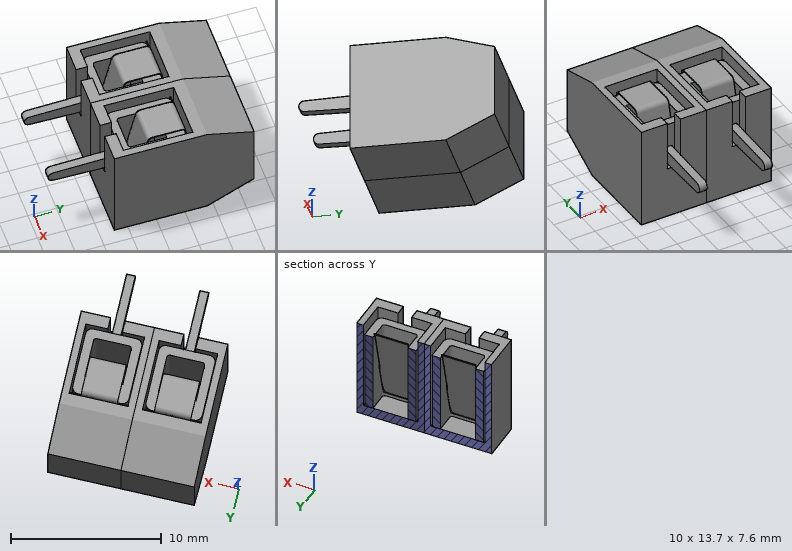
import cadquery as cq
import math

POLES = 2
PITCH = 5.0

LENGTH = 9.8
HEIGHT = 7.6
SLOPE_START = 6.5
UPPER_DROP = 1.0
LOWER_RISE = 1.6
SIDE_WALL = 0.5
FRONT_WALL = 0.8
POCKET_REAR = 5.67
POCKET_DEPTH = 6.8
SLOT_WIDTH = 1.0
SLOT_DEPTH = 3.72

FRAME_GAP = 0.08
FRAME_FRONT = 0.83
FRAME_REAR = 5.39
FRAME_TOP = HEIGHT - 0.78
FRAME_RADIUS = 0.45
WINDOW_WIDTH = 2.58
WINDOW_FRONT = 1.42
WINDOW_REAR = 4.08
WINDOW_RADIUS = 0.2

LEAF_THICKNESS = 0.07
LEAF_WIDTH = 2.48
LEAF_TOP = HEIGHT - 0.42
REAR_BEND = 0.33
FRONT_BEND = 0.38
FRONT_BEND_START = 3.12
LEAN = math.radians(13)
WIDENING_Y = 2.05
SHOULDER_DROP = 0.1

PIN_WIDTH = 0.6
PIN_LENGTH = 3.9
PIN_NOSE = 0.38
PIN_AXIS = HEIGHT - 3.09
PIN_ROOT_HEIGHT = 1.0
PIN_TIP_HEIGHT = 0.79

POCKET_WIDTH = PITCH - 2 * SIDE_WALL
POCKET_FLOOR = HEIGHT - POCKET_DEPTH


def block(width, y_range, z_range):
    """Box centred on X = 0 between the given Y and Z limits."""
    y_size = y_range[1] - y_range[0]
    z_size = z_range[1] - z_range[0]
    return (
        cq.Workplane("XY")
        .box(width, y_size, z_size, centered=(True, False, False))
        .translate((0, y_range[0], z_range[0]))
    )


def make_housing():
    """Sloped body with a pocket from above and a slot in its front wall for the pin."""
    profile = [
        (0, 0),
        (SLOPE_START, 0),
        (LENGTH, LOWER_RISE),
        (LENGTH, HEIGHT - UPPER_DROP),
        (SLOPE_START, HEIGHT),
        (0, HEIGHT),
    ]
    body = cq.Workplane("YZ").polyline(profile).close().extrude(PITCH / 2, both=True)
    pocket = block(POCKET_WIDTH, (FRONT_WALL, POCKET_REAR), (POCKET_FLOOR, HEIGHT))
    pin_slot = block(SLOT_WIDTH, (0, FRONT_WALL), (HEIGHT - SLOT_DEPTH, HEIGHT))
    return body.cut(pocket).cut(pin_slot)


def make_window():
    """Wire opening of the frame, rounded at its two front corners."""
    opening = block(WINDOW_WIDTH, (WINDOW_FRONT, WINDOW_REAR), (POCKET_FLOOR, FRAME_TOP))
    return opening.edges("|Z and <Y").fillet(WINDOW_RADIUS)


def make_frame():
    """Rounded block that fills the pocket, with a window for the wire."""
    width = POCKET_WIDTH - 2 * FRAME_GAP
    levels = (POCKET_FLOOR, FRAME_TOP)
    body = block(width, (FRAME_FRONT, FRAME_REAR), levels).edges("|Z").fillet(FRAME_RADIUS)
    return body.cut(make_window())


def make_leaf():
    """Strip bent over the frame: a leg behind it, a tongue on top and a leg leaning into the window."""
    rear = FRAME_REAR + LEAF_THICKNESS
    rear_bend_y = rear - REAR_BEND
    rear_bend_z = LEAF_TOP - REAR_BEND
    front_bend_z = LEAF_TOP - FRONT_BEND

    def on_bend(centre, radius, angle):
        y = centre[0] + radius * math.cos(angle)
        z = centre[1] + radius * math.sin(angle)
        return (y, z)

    rear_centre = (rear_bend_y, rear_bend_z)
    front_centre = (FRONT_BEND_START, front_bend_z)
    leg_angle = math.pi - LEAN
    mid_front = (math.pi / 2 + leg_angle) / 2
    rear_inner = REAR_BEND - LEAF_THICKNESS
    front_inner = FRONT_BEND - LEAF_THICKNESS
    outer_bend_end = on_bend(front_centre, FRONT_BEND, leg_angle)
    inner_bend_end = on_bend(front_centre, front_inner, leg_angle)
    leg_drop = (outer_bend_end[0] - WINDOW_FRONT) / math.tan(LEAN)
    leg_end = (WINDOW_FRONT, outer_bend_end[1] - leg_drop)
    leg_end_inner = (
        leg_end[0] + inner_bend_end[0] - outer_bend_end[0],
        leg_end[1] + inner_bend_end[1] - outer_bend_end[1],
    )
    section = (
        cq.Workplane("YZ")
        .moveTo(rear, POCKET_FLOOR)
        .lineTo(rear, rear_bend_z)
        .threePointArc(on_bend(rear_centre, REAR_BEND, math.pi / 4), (rear_bend_y, LEAF_TOP))
        .lineTo(FRONT_BEND_START, LEAF_TOP)
        .threePointArc(on_bend(front_centre, FRONT_BEND, mid_front), outer_bend_end)
        .lineTo(*leg_end)
        .lineTo(*leg_end_inner)
        .lineTo(*inner_bend_end)
        .threePointArc(
            on_bend(front_centre, front_inner, mid_front),
            (FRONT_BEND_START, LEAF_TOP - LEAF_THICKNESS),
        )
        .lineTo(rear_bend_y, LEAF_TOP - LEAF_THICKNESS)
        .threePointArc(on_bend(rear_centre, rear_inner, math.pi / 4), (FRAME_REAR, rear_bend_z))
        .lineTo(FRAME_REAR, POCKET_FLOOR)
        .close()
    )
    strip = section.extrude(POCKET_WIDTH / 2, both=True)
    tongue = block(LEAF_WIDTH, (WIDENING_Y, LENGTH), (0, HEIGHT))
    front_part = block(POCKET_WIDTH, (0, WIDENING_Y), (0, HEIGHT))
    front_leg = make_window().intersect(front_part)
    rear_leg = block(POCKET_WIDTH, (FRAME_REAR, LENGTH), (0, FRAME_TOP - SHOULDER_DROP))
    return strip.intersect(tongue.union(front_leg).union(rear_leg))


def make_pin():
    """Flat pin that tapers from the clamp frame to a rounded nose."""
    tip = -PIN_LENGTH
    nose_start = tip + PIN_NOSE
    half_root = PIN_ROOT_HEIGHT / 2
    half_tip = PIN_TIP_HEIGHT / 2
    mid_y = nose_start - PIN_NOSE * math.sqrt(0.5)
    mid_z = half_tip * math.sqrt(0.5)
    profile = (
        cq.Workplane("YZ")
        .moveTo(FRAME_FRONT, PIN_AXIS - half_root)
        .lineTo(nose_start, PIN_AXIS - half_tip)
        .threePointArc((mid_y, PIN_AXIS - mid_z), (tip, PIN_AXIS))
        .threePointArc((mid_y, PIN_AXIS + mid_z), (nose_start, PIN_AXIS + half_tip))
        .lineTo(FRAME_FRONT, PIN_AXIS + half_root)
        .close()
    )
    return profile.extrude(PIN_WIDTH / 2, both=True)


bodies = []
for pole in range(POLES):
    pole_centre = (pole + 0.5) * PITCH
    for make_body in (make_housing, make_frame, make_leaf, make_pin):
        bodies.append(make_body().translate((pole_centre, 0, 0)).solids().val())

result = cq.Compound.makeCompound(bodies)